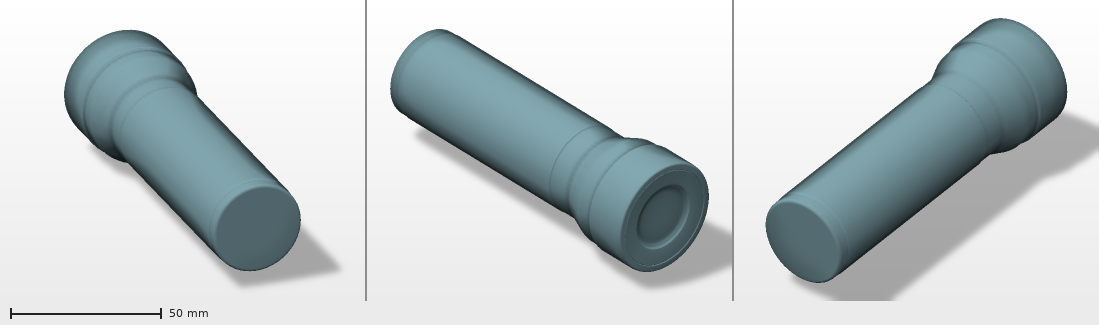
import cadquery as cq
import math


length = 120.0
head_radius = 40.0 / 2
collar_radius = 38.5 / 2
neck_radius = 31.5 / 2
tube_radius = 32.0 / 2

rim_round_end = 0.7
rim_blend_end = 1.5
rim_front_radius = 19.2
rim_blend_drop = 0.1
head_straight_end = 14.9
head_rear_round = 0.7
collar_start = 16.3

taper_start = 21.8
taper_end = 30.7
taper_start_reach = 1.1
taper_end_reach = 1.0
taper_angle = math.atan2(collar_radius - neck_radius, taper_end - taper_start)

tube_start = 39.8
tube_edge = 0.2
tube_end = 114.7
tail_start = 115.8
tail_round = 1.1

insert_radius = 17.4
insert_depth = 4.8
seam_edge = 0.18

land_radius = 15.7
land_depth = 0.4
cone_radius = 12.5
cone_depth = 0.7
lip_radius = 11.8
lip_depth = 0.8
wall_radius = 11.2
wall_depth = 1.4
dish_radius = 10.5
dish_depth = 1.8
floor_radius = 8.9
floor_depth = 2.3


def on_taper(corner_x, corner_radius, distance):
    """Point on the taper line, at a distance along it from one of its corners."""
    return (
        corner_x + distance * math.cos(taper_angle),
        corner_radius - distance * math.sin(taper_angle),
    )


def revolve_about_x(profile):
    return profile.close().revolve(360, (0, 0, 0), (1, 0, 0))


def make_housing():
    head = (
        cq.Workplane("XY")
        .moveTo(insert_depth, 0)
        .lineTo(insert_depth, insert_radius)
        .lineTo(seam_edge, insert_radius)
        .lineTo(0, insert_radius + seam_edge)
        .lineTo(0, rim_front_radius)
        .tangentArcPoint((rim_round_end, head_radius - rim_blend_drop), relative=False)
        .lineTo(rim_blend_end, head_radius)
        .lineTo(head_straight_end, head_radius)
        .tangentArcPoint(
            (head_straight_end + head_rear_round, head_radius - head_rear_round / 2), relative=False
        )
        .lineTo(collar_start, collar_radius)
    )
    neck = (
        head.lineTo(taper_start - taper_start_reach, collar_radius)
        .tangentArcPoint(on_taper(taper_start, collar_radius, taper_start_reach), relative=False)
        .lineTo(*on_taper(taper_end, neck_radius, -taper_end_reach))
        .tangentArcPoint((taper_end + taper_end_reach, neck_radius), relative=False)
        .lineTo(tube_start - tube_edge, neck_radius)
    )
    tube = (
        neck.lineTo(tube_start, tube_radius)
        .lineTo(tube_end, tube_radius)
        .lineTo(tail_start, neck_radius)
        .lineTo(length - tail_round, neck_radius)
        .tangentArcPoint((length, neck_radius - tail_round), relative=False)
        .lineTo(length, 0)
    )
    return revolve_about_x(tube)


def make_insert():
    profile = (
        cq.Workplane("XY")
        .moveTo(insert_depth, 0)
        .lineTo(insert_depth, insert_radius)
        .lineTo(2 * seam_edge, insert_radius)
        .lineTo(seam_edge, insert_radius - seam_edge)
        .lineTo(land_depth, land_radius)
        .lineTo(cone_depth, cone_radius)
        .lineTo(lip_depth, lip_radius)
        .lineTo(wall_depth, wall_radius)
        .lineTo(dish_depth, dish_radius)
        .spline(
            [(floor_depth, floor_radius)],
            tangents=[(1, -1), (0, -1)],
            includeCurrent=True,
        )
        .lineTo(floor_depth, 0)
    )
    return revolve_about_x(profile)


housing = make_housing()
insert = make_insert()

result = cq.Compound.makeCompound([housing.val(), insert.val()])